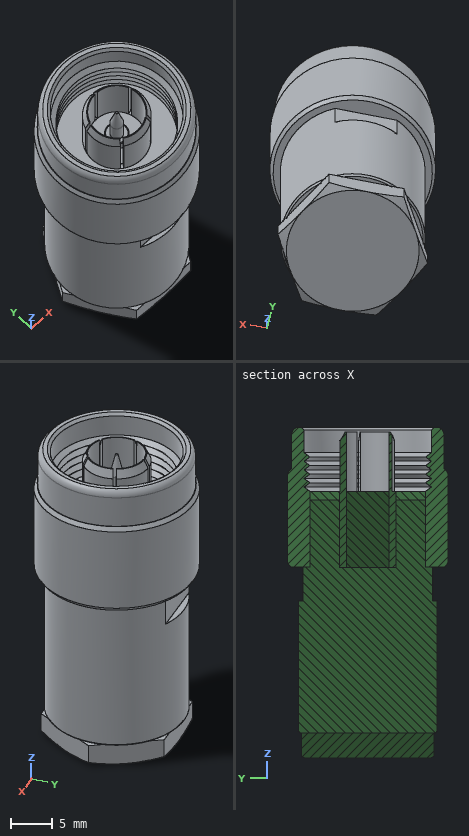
import cadquery as cq
import math


TOP_Z = 39.9
CLAMP_NUT_HEIGHT = 3.0
SHOULDER_Z = 23.0

NUT_DIAMETER = 20.0
NUT_RADIUS = NUT_DIAMETER / 2
COLLAR_RADIUS = 9.55
COLLAR_BASE_Z = 34.9
NUT_CHAMFER_WIDTH = 0.4
NUT_CHAMFER_HEIGHT = 0.5
RIM_ARC_RADIUS = 1.0
RIM_ARC_HEIGHT = 0.9
MOUTH_RADIUS = 8.38
MOUTH_CHAMFER = 0.35
RELIEF_RADIUS = MOUTH_RADIUS - MOUTH_CHAMFER

CREST_RADIUS = 7.35
THREAD_TOP_Z = 36.83
PITCH = 1.05
FLANK_HEIGHT = PITCH / 2
GROOVE_COUNT = 4
SOCKET_FLOOR_Z = THREAD_TOP_Z - FLANK_HEIGHT - GROOVE_COUNT * PITCH

BODY_RADIUS = 8.75
BODY_END_CHAMFER = 0.25
FLAT_DISTANCE = 7.85
FLAT_HEIGHT = 4.0

HEX_ACROSS_FLATS = 16.0
HEX_CHAMFER_HEIGHT = 0.55

GASKET_THICKNESS = 1.0

CONTACT_RADIUS = 4.15
CONTACT_BORE_RADIUS = 3.5
CONTACT_TOP_Z = 39.35
CONTACT_TOP_RADIUS = 3.65
CONTACT_TAPER_HEIGHT = 1.08
SLOT_COUNT = 5
SLOT_WIDTH = 0.4

PIN_BASE_RADIUS = 1.48
PIN_BASE_TOP_Z = 33.5
PIN_BASE_CHAMFER = 0.1
PIN_RADIUS = 0.85
PIN_TIP_RADIUS = 0.15
PIN_TIP_Z = 39.15
PIN_TAPER_HEIGHT = 2.8


def cylinder(radius, bottom_z, top_z):
    """Upright cylinder on the Z axis."""
    return cq.Workplane("XY").workplane(offset=bottom_z).circle(radius).extrude(top_z - bottom_z)


def revolve_outline(outline):
    """Turn a closed (radius, z) outline drawn on the XZ plane about the Z axis."""
    return outline.close().revolve(360, (0, 0, 0), (0, 1, 0))


def make_coupling_nut():
    """Threaded sleeve with a narrower, round-rimmed collar."""
    arc_center_radius = COLLAR_RADIUS - RIM_ARC_RADIUS
    rim_radius = arc_center_radius + math.sqrt(RIM_ARC_RADIUS**2 - RIM_ARC_HEIGHT**2)
    half_angle = math.asin(RIM_ARC_HEIGHT / RIM_ARC_RADIUS) / 2
    arc_base_z = TOP_Z - RIM_ARC_HEIGHT
    arc_middle = (
        arc_center_radius + RIM_ARC_RADIUS * math.cos(half_angle),
        arc_base_z + RIM_ARC_RADIUS * math.sin(half_angle),
    )
    outline = (
        cq.Workplane("XZ")
        .moveTo(CREST_RADIUS, SHOULDER_Z)
        .lineTo(NUT_RADIUS - NUT_CHAMFER_WIDTH, SHOULDER_Z)
        .lineTo(NUT_RADIUS, SHOULDER_Z + NUT_CHAMFER_HEIGHT)
        .lineTo(NUT_RADIUS, COLLAR_BASE_Z - NUT_CHAMFER_HEIGHT)
        .lineTo(NUT_RADIUS - NUT_CHAMFER_WIDTH, COLLAR_BASE_Z)
        .lineTo(COLLAR_RADIUS, COLLAR_BASE_Z)
        .lineTo(COLLAR_RADIUS, arc_base_z)
        .threePointArc(arc_middle, (rim_radius, TOP_Z))
        .lineTo(MOUTH_RADIUS, TOP_Z)
        .lineTo(RELIEF_RADIUS, TOP_Z - MOUTH_CHAMFER)
        .lineTo(RELIEF_RADIUS, THREAD_TOP_Z)
        .lineTo(CREST_RADIUS, THREAD_TOP_Z - FLANK_HEIGHT)
    )
    nut = revolve_outline(outline)
    for index in range(GROOVE_COUNT):
        nut = nut.cut(thread_groove(THREAD_TOP_Z - (index + 1) * PITCH))
    return nut


def thread_groove(root_z):
    """Ring with a V section whose deepest point lies at root_z."""
    outline = (
        cq.Workplane("XZ")
        .moveTo(CREST_RADIUS, root_z - FLANK_HEIGHT)
        .lineTo(RELIEF_RADIUS, root_z)
        .lineTo(CREST_RADIUS, root_z + FLANK_HEIGHT)
    )
    return revolve_outline(outline)


def make_body():
    """Barrel with two wrench flats and a bored neck inside the coupling nut."""
    barrel = cylinder(BODY_RADIUS, CLAMP_NUT_HEIGHT, SHOULDER_Z).faces("<Z").chamfer(BODY_END_CHAMFER)
    flat_depth = BODY_RADIUS - FLAT_DISTANCE
    for side in (-1, 1):
        flat_cutter = cq.Workplane("XY").box(2 * BODY_RADIUS, flat_depth, FLAT_HEIGHT).translate(
            (0, side * (FLAT_DISTANCE + flat_depth / 2), SHOULDER_Z - FLAT_HEIGHT / 2)
        )
        barrel = barrel.cut(flat_cutter)
    neck_top_z = SOCKET_FLOOR_Z - GASKET_THICKNESS
    neck = cylinder(CREST_RADIUS, SHOULDER_Z, neck_top_z)
    contact_bore = cylinder(CONTACT_RADIUS, SHOULDER_Z, neck_top_z)
    return barrel.union(neck.cut(contact_bore))


def make_clamp_nut():
    """Hexagon with its lower corners turned off by a cone."""
    corner_radius = HEX_ACROSS_FLATS / math.sqrt(3)
    hexagon = cq.Workplane("XY").polygon(6, 2 * corner_radius).extrude(CLAMP_NUT_HEIGHT)
    cone_outline = (
        cq.Workplane("XZ")
        .lineTo(HEX_ACROSS_FLATS / 2, 0)
        .lineTo(corner_radius, HEX_CHAMFER_HEIGHT)
        .lineTo(corner_radius, CLAMP_NUT_HEIGHT)
        .lineTo(0, CLAMP_NUT_HEIGHT)
    )
    return hexagon.intersect(revolve_outline(cone_outline))


def make_gasket():
    """Flat sealing ring that forms the floor of the mating socket."""
    bottom_z = SOCKET_FLOOR_Z - GASKET_THICKNESS
    ring = cylinder(CREST_RADIUS, bottom_z, SOCKET_FLOOR_Z)
    return ring.cut(cylinder(CONTACT_RADIUS, bottom_z, SOCKET_FLOOR_Z))


def make_outer_contact():
    """Tapered tube split into springy fingers above the socket floor."""
    outline = (
        cq.Workplane("XZ")
        .moveTo(CONTACT_BORE_RADIUS, SHOULDER_Z)
        .lineTo(CONTACT_RADIUS, SHOULDER_Z)
        .lineTo(CONTACT_RADIUS, CONTACT_TOP_Z - CONTACT_TAPER_HEIGHT)
        .lineTo(CONTACT_TOP_RADIUS, CONTACT_TOP_Z)
        .lineTo(CONTACT_BORE_RADIUS, CONTACT_TOP_Z)
    )
    contact = revolve_outline(outline)
    slot_height = CONTACT_TOP_Z - SOCKET_FLOOR_Z
    slot_cutter = cq.Workplane("XY").box(SLOT_WIDTH, CONTACT_RADIUS, slot_height).translate(
        (0, CONTACT_RADIUS / 2 + CONTACT_BORE_RADIUS / 2, SOCKET_FLOOR_Z + slot_height / 2)
    )
    for index in range(SLOT_COUNT):
        contact = contact.cut(slot_cutter.rotate((0, 0, 0), (0, 0, 1), index * 360 / SLOT_COUNT))
    return contact


def make_insulator():
    """Bush between the outer contact and the centre pin."""
    bush = cylinder(CONTACT_BORE_RADIUS, SHOULDER_Z, SOCKET_FLOOR_Z)
    return bush.cut(cylinder(PIN_BASE_RADIUS, SHOULDER_Z, SOCKET_FLOOR_Z))


def make_center_pin():
    """Stepped pin with a chamfered base and a long conical tip."""
    outline = (
        cq.Workplane("XZ")
        .moveTo(0, SHOULDER_Z)
        .lineTo(PIN_BASE_RADIUS, SHOULDER_Z)
        .lineTo(PIN_BASE_RADIUS, PIN_BASE_TOP_Z - PIN_BASE_CHAMFER)
        .lineTo(PIN_BASE_RADIUS - PIN_BASE_CHAMFER, PIN_BASE_TOP_Z)
        .lineTo(PIN_RADIUS, PIN_BASE_TOP_Z)
        .lineTo(PIN_RADIUS, PIN_TIP_Z - PIN_TAPER_HEIGHT)
        .lineTo(PIN_TIP_RADIUS, PIN_TIP_Z)
        .lineTo(0, PIN_TIP_Z)
    )
    return revolve_outline(outline)


coupling_nut = make_coupling_nut()
body = make_body()
clamp_nut = make_clamp_nut()
gasket = make_gasket()
outer_contact = make_outer_contact()
insulator = make_insulator()
center_pin = make_center_pin()

result = cq.Compound.makeCompound([
    coupling_nut.val(),
    body.val(),
    clamp_nut.val(),
    gasket.val(),
    outer_contact.val(),
    insulator.val(),
    center_pin.val(),
])